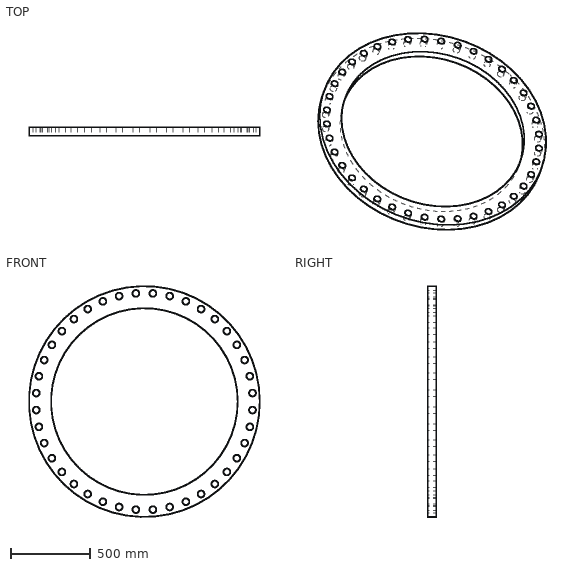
import cadquery as cq

outer_diameter = 1454.15
bore_diameter = 1173.23
thickness = 55.73

bolt_hole_count = 40
bolt_hole_diameter = 41.27
bolt_circle_diameter = 1365.25
hole_pitch_angle = 360 / bolt_hole_count
first_hole_angle = hole_pitch_angle / 2


def back_face_plane():
    """Workplane on the +Y face of the ring, with its normal along -Y."""
    return cq.Workplane("XZ", origin=(0, thickness / 2, 0))


def make_ring():
    """Plain ring between the bore and the outer rim."""
    return (
        back_face_plane()
        .circle(outer_diameter / 2)
        .circle(bore_diameter / 2)
        .extrude(thickness)
    )


def make_bolt_holes():
    """Cylinders that cut the bolt holes through the full thickness."""
    return (
        back_face_plane()
        .polarArray(bolt_circle_diameter / 2, first_hole_angle, 360, bolt_hole_count)
        .circle(bolt_hole_diameter / 2)
        .extrude(thickness)
    )


result = make_ring().cut(make_bolt_holes())